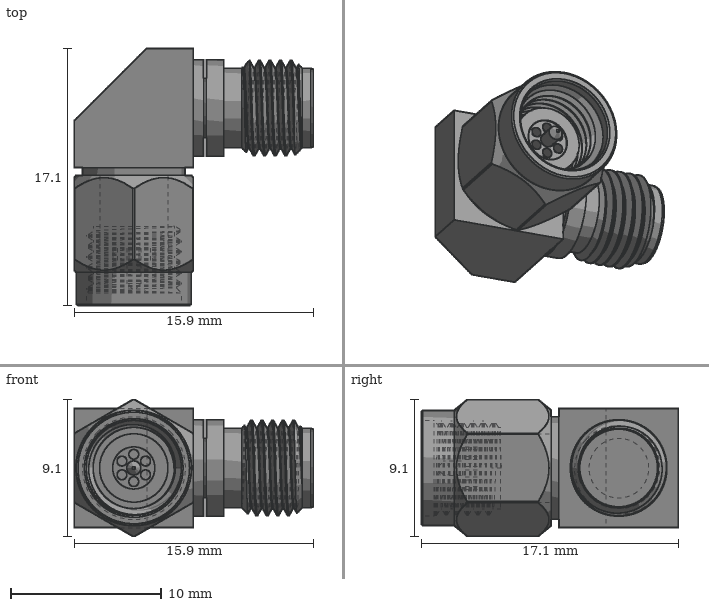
import cadquery as cq
import math


block_side = 7.93
block_chamfer = 4.82
block_face = block_side / 2

collar_radius = 3.21
collar_length = 0.68
groove_radius = 1.98
groove_width = 0.17
flange_length = 1.16

barrel_radius = 2.65
barrel_end = 11.93
barrel_edge_x = 0.17
barrel_edge_radial = 0.07
thread_start = 7.18
thread_end = 11.2

pitch = 0.7
crest_width = 0.09
root_width = 0.07
cutter_overlap = 0.03
socket_crest_radius = 3.18
socket_root_radius = 2.68
socket_groove_start = 6.6
nut_crest_radius = 2.7
nut_root_radius = 3.15
nut_groove_start = 8.13

neck_radius = 3.42
neck_length = 0.51
nut_rear = block_face + neck_length
spigot_radius = 2.27
spigot_end = 10.37

hex_radius = 4.55
hex_length = 6.45
hex_end = nut_rear + hex_length
hex_end_radius = 3.85
hex_chamfer = 0.85
nut_front = 13.13
sleeve_radius = 3.83
sleeve_edge_y = 0.1
sleeve_edge_radial = 0.12
mouth_radius = 3.16
mouth_edge = 0.12
mouth_depth = 0.84
nut_floor = 7.86

bead_radius = 1.4
bead_recess = 0.1
bead_length = 1.03
bead_front = spigot_end - bead_recess
bead_rear = bead_front - bead_length
vent_radius = 0.32
vent_circle_radius = 0.9
vent_count = 6
pin_radius = 0.47
pin_shoulder = 11.64
pin_end = 12.0
pin_tip_radius = 0.094

socket_axis = cq.Plane(origin=(0, 0, 0), xDir=(0, 1, 0), normal=(1, 0, 0))
nut_axis = cq.Plane(origin=(0, 0, 0), xDir=(1, 0, 0), normal=(0, -1, 0))


def cylinder(radius, start, end):
    """Cylinder about the local Z axis from height start to height end."""
    return cq.Workplane("XY").workplane(offset=start).circle(radius).extrude(end - start)


def turned(points):
    """Solid of revolution about the local Z axis from (radius, height) points."""
    return cq.Workplane("XZ").polyline(points).close().revolve(360, (0, 0, 0), (0, 1, 0))


def thread_groove(crest_radius, root_radius, start, end):
    """Right-handed helical flat-bottomed V groove about the local Z axis, starting over local +X."""
    half_root = root_width / 2
    half_opening = (pitch - crest_width) / 2
    depth = abs(root_radius - crest_radius)
    outward = math.copysign(1, crest_radius - root_radius)
    lip_radius = crest_radius + outward * cutter_overlap
    half_lip = half_opening + (half_opening - half_root) * cutter_overlap / depth
    helix = cq.Wire.makeHelix(pitch, end - start, root_radius)
    outline = [
        (root_radius, -half_root),
        (root_radius, half_root),
        (lip_radius, half_lip),
        (lip_radius, -half_lip),
    ]
    profile = cq.Workplane("XZ").polyline(outline).close()
    return profile.sweep(cq.Workplane(helix), isFrenet=True).translate((0, 0, start))


def make_block():
    """Square block with its outer corner cut off at 45 degrees."""
    outline = [
        (-block_face, -block_face),
        (block_face, -block_face),
        (block_face, block_face),
        (block_face - (block_side - block_chamfer), block_face),
        (-block_face, block_face - block_chamfer),
    ]
    return cq.Workplane("XY").polyline(outline).close().extrude(block_face, both=True)


def make_socket():
    """Collar, groove, flange and externally threaded barrel, along local Z."""
    collar_end = block_face + collar_length
    flange_start = collar_end + groove_width
    flange_end = flange_start + flange_length
    body = turned([
        (0, block_face),
        (collar_radius, block_face),
        (collar_radius, collar_end),
        (groove_radius, collar_end),
        (groove_radius, flange_start),
        (collar_radius, flange_start),
        (collar_radius, flange_end),
        (barrel_radius, flange_end),
        (barrel_radius, barrel_end - barrel_edge_x),
        (barrel_radius - barrel_edge_radial, barrel_end),
        (0, barrel_end),
    ])
    return body.union(make_socket_thread())


def make_socket_thread():
    """Grooved cylinder trimmed to 45 degree chamfers where the thread runs out."""
    groove_end = thread_end + pitch / 2
    groove = thread_groove(socket_crest_radius, socket_root_radius, socket_groove_start, groove_end)
    blank_start = thread_start - 2 * pitch
    blank_end = thread_end + 2 * pitch
    grooved = cylinder(socket_crest_radius, blank_start, blank_end).cut(groove)
    thread_height = socket_crest_radius - barrel_radius
    envelope = turned([
        (0, thread_start),
        (barrel_radius, thread_start),
        (socket_crest_radius, thread_start + thread_height),
        (socket_crest_radius, thread_end - thread_height),
        (barrel_radius, thread_end),
        (0, thread_end),
    ])
    return grooved.intersect(envelope)


def make_nut_support():
    """Neck and spigot along local Z, bored at the front for the bead."""
    neck = cylinder(neck_radius, block_face, nut_rear)
    spigot = cylinder(spigot_radius, block_face, spigot_end)
    bore = cylinder(bead_radius, bead_rear, spigot_end)
    return neck.union(spigot).cut(bore)


def make_housing():
    """Block joined to the threaded socket and to the neck and spigot of the nut."""
    socket = make_socket().val().moved(socket_axis.location)
    support = make_nut_support().val().moved(nut_axis.location)
    return make_block().union(cq.Workplane(socket)).union(cq.Workplane(support))


def make_hexagon():
    """Hexagon with its corners turned round and both ends chamfered to cones."""
    across_corners = block_side / math.cos(math.pi / 6)
    blank = (
        cq.Workplane("XY")
        .workplane(offset=nut_rear)
        .polygon(6, across_corners)
        .extrude(hex_length)
        .rotate((0, 0, 0), (0, 0, 1), 30)
    )
    envelope = turned([
        (0, nut_rear),
        (hex_end_radius, nut_rear),
        (hex_radius, nut_rear + hex_chamfer),
        (hex_radius, hex_end - hex_chamfer),
        (hex_end_radius, hex_end),
        (0, hex_end),
    ])
    return blank.intersect(envelope)


def make_nut():
    """Hexagon nut with a round front sleeve, an internal thread and a spigot hole."""
    sleeve = turned([
        (0, nut_rear),
        (hex_end_radius, nut_rear),
        (hex_end_radius, hex_end),
        (sleeve_radius, hex_end),
        (sleeve_radius, nut_front - sleeve_edge_y),
        (sleeve_radius - sleeve_edge_radial, nut_front),
        (0, nut_front),
    ])
    mouth_floor = nut_front - mouth_depth
    cavity = turned([
        (0, nut_floor),
        (nut_crest_radius, nut_floor),
        (nut_crest_radius, mouth_floor - (mouth_radius - nut_crest_radius)),
        (mouth_radius, mouth_floor),
        (mouth_radius, nut_front - mouth_edge),
        (mouth_radius + mouth_edge, nut_front),
        (0, nut_front),
    ])
    groove_end = mouth_floor + pitch / 2
    groove = thread_groove(nut_crest_radius, nut_root_radius, nut_groove_start, groove_end)
    spigot_hole = cylinder(spigot_radius, nut_rear, nut_floor)
    nut = make_hexagon().union(sleeve).cut(cavity).cut(spigot_hole).cut(groove)
    return cq.Workplane(nut.val().moved(nut_axis.location))


def make_contact():
    """Pointed pin in a bead that is pierced by a ring of through holes."""
    contact = turned([
        (0, bead_rear),
        (bead_radius, bead_rear),
        (bead_radius, bead_front),
        (pin_radius, bead_front),
        (pin_radius, pin_shoulder),
        (pin_tip_radius, pin_end),
        (0, pin_end),
    ])
    vents = (
        cq.Workplane("XY")
        .workplane(offset=bead_rear)
        .polarArray(vent_circle_radius, 90, 360, vent_count)
        .circle(vent_radius)
        .extrude(bead_length)
    )
    return cq.Workplane(contact.cut(vents).val().moved(nut_axis.location))


housing = make_housing()
nut = make_nut()
contact = make_contact()

result = cq.Compound.makeCompound([housing.solids().val(), nut.solids().val(), contact.solids().val()])